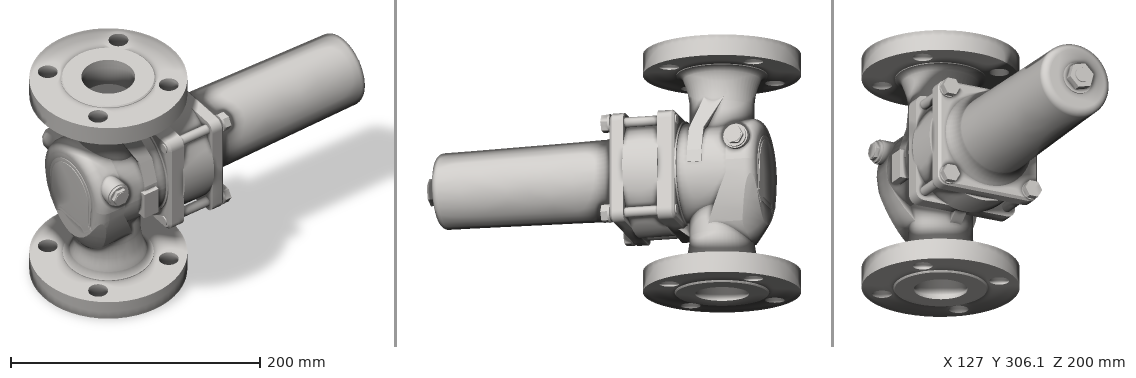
import cadquery as cq
import math


overall_height = 200.0
overall_y_max = 242.57

flange_dia = 127.0
flange_thickness = 17.0
raised_face_dia = 76.0
raised_face_height = 1.5
raised_face_chamfer = 1.0
bore_dia = 43.1
bore_depth = 25.0
flange_bolt_circle = 98.4
flange_hole_dia = 15.9
flange_hole_count = 4

neck_collar_radius = 36.6
neck_collar_height = 0.7
neck_fillet_mid_radius = 32.9
neck_fillet_mid_z = 79.6
neck_wide_radius = 31.0
neck_wide_z = 76.6
neck_mid_radius = 27.4
neck_mid_z = 66.0
neck_radius = 26.0
neck_z = 54.0

body_radius = 42.0
body_front_y = -36.6
body_back_y = -13.5
body_edge_fillet = 8.5
body_flank_x = 36.6
body_flank_z = -25.0
body_bottom_half_width = 26.0
body_bottom_corner_z = -47.0
body_bottom_z = -60.0
elbow_start_z = -10.0
elbow_back_y = 11.0
elbow_top_radius = 54.0
elbow_mid_radius = 46.5
elbow_mid_z = -24.0
elbow_end_radius = 25.0
elbow_end_z = -62.0

barrel_radius = 41.5
barrel_overlap = 5.0

pad_step_radius = 28.3
pad_step_points = [(26.5, -20.0), (28.3, -23.5), (19.0, -31.5), (15.0, -29.0)]
pad_face_radius = 25.0
pad_face_points = [(24.5, -20.5), (26.3, -23.5), (19.0, -29.7), (13.0, -25.0)]
pad_step = 0.6
pad_crown = 1.6
pad_crown_radius = 650.0

plate_size = 90.0
plate_corner_radius = 7.5
plate_edge_chamfer = 2.0
body_plate_y = (28.5, 42.5)
barrel_collar_radius = 43.5
barrel_collar_height = 1.3
spacer_dia = 95.0
spacer_y = (41.5, 70.5)
bonnet_plate_y = (70.5, 82.1)

stud_dia = 8.0
stud_spacing = 74.6
stud_tip = 1.0
washer_dia = 15.0
washer_height = 1.7
bolt_head_flats = 13.0
bolt_head_height = 5.6

flare_radius = 39.0
flare_mid_radius = 34.3
flare_mid_y = 88.5
bonnet_base_radius = 33.0
bonnet_base_y = 97.0
bonnet_tip_radius = 30.7
bonnet_tip_y = 233.6
bonnet_tip_fillet = 6.0

adjuster_washer_dia = 26.0
adjuster_washer_height = 1.0
adjuster_flats = 19.0
adjuster_height = 7.0
adjuster_turn = 15.0
adjuster_tip_dia = 12.0

port_y = -22.5
port_z = 18.2
port_boss_dia = 20.0
port_boss_x = 45.0
port_collar_dia = 18.0
port_collar_x = 47.0
plug_flats = 13.0
plug_tip_x = 50.6
plug_face_dia = 12.0
plug_face_height = 0.6

shoulder_sections = [
    (58.0, 0.0, 49.0, 17.0),
    (30.0, 12.5, 69.5, 12.0),
    (10.0, 12.5, 83.0, 12.0),
    (0.0, 12.5, 84.4, 12.0),
]

name_pad_x = 45.8
name_pad_y = (3.0, 17.0)
name_pad_z = (-17.5, 6.5)

web_thickness = 10.0
web_plate_point = (35.0, -45.0)
web_neck_point = (24.0, -53.5)
web_root_z = -30.0

half_height = overall_height / 2
flange_outer_z = half_height - raised_face_height
flange_inner_z = flange_outer_z - flange_thickness
collar_z = flange_inner_z - neck_collar_height
corner_per_flats = 2 / math.sqrt(3)


def plane_at_y(y):
    """Plane facing +Y whose local x is +X and whose local y is -Z."""
    return cq.Workplane(cq.Plane(origin=(0, y, 0), xDir=(1, 0, 0), normal=(0, 1, 0)))


def plane_at_front(y):
    """Plane facing -Y whose local x is +X and whose local y is +Z."""
    return cq.Workplane(cq.Plane(origin=(0, y, 0), xDir=(1, 0, 0), normal=(0, -1, 0)))


def cylinder_y(dia, y_start, y_end):
    """Cylinder on the Y axis between two y positions."""
    return plane_at_y(y_start).circle(dia / 2).extrude(y_end - y_start)


def flow_end():
    """Upper flange and flared neck, solid; the lower end is its mirror image."""
    neck = (
        cq.Workplane("XZ")
        .moveTo(0, 0)
        .lineTo(neck_radius, 0)
        .lineTo(neck_radius, neck_z)
        .threePointArc((neck_mid_radius, neck_mid_z), (neck_wide_radius, neck_wide_z))
        .threePointArc((neck_fillet_mid_radius, neck_fillet_mid_z), (neck_collar_radius, collar_z))
        .lineTo(neck_collar_radius, flange_inner_z)
        .lineTo(0, flange_inner_z)
        .close()
        .revolve(360, (0, 0, 0), (0, 1, 0))
    )
    flange = (
        cq.Workplane("XY")
        .workplane(offset=flange_inner_z)
        .circle(flange_dia / 2)
        .extrude(flange_thickness)
    )
    raised_face = (
        cq.Workplane("XY")
        .workplane(offset=flange_outer_z)
        .circle(raised_face_dia / 2)
        .extrude(raised_face_height)
        .faces(">Z")
        .chamfer(raised_face_chamfer)
    )
    holes = (
        cq.Workplane("XY")
        .workplane(offset=flange_inner_z)
        .polarArray(flange_bolt_circle / 2, 360 / flange_hole_count / 2, 360, flange_hole_count)
        .circle(flange_hole_dia / 2)
        .extrude(flange_thickness)
    )
    return neck.union(flange).union(raised_face).cut(holes)


def bore():
    """Blind flow bore of the upper end."""
    floor = cq.Workplane("XY").workplane(offset=half_height - bore_depth)
    return floor.circle(bore_dia / 2).extrude(bore_depth)


def both_ends(upper):
    """Shape of the upper end together with its mirror image at the lower end."""
    return upper.union(upper.mirror("XY"))


def front_body():
    """Egg-shaped front chamber, its lower part bending back into the outlet neck."""
    egg = (
        plane_at_front(elbow_back_y)
        .moveTo(body_radius, 0)
        .threePointArc((0, body_radius), (-body_radius, 0))
        .threePointArc((-body_flank_x, body_flank_z), (-body_bottom_half_width, body_bottom_corner_z))
        .threePointArc((0, body_bottom_z), (body_bottom_half_width, body_bottom_corner_z))
        .threePointArc((body_flank_x, body_flank_z), (body_radius, 0))
        .close()
        .extrude(elbow_back_y - body_front_y)
        .faces("<Y")
        .edges()
        .fillet(body_edge_fillet)
    )
    side_profile = (
        cq.Workplane("YZ")
        .moveTo(body_front_y, body_radius)
        .lineTo(body_back_y, body_radius)
        .lineTo(body_back_y, elbow_start_z)
        .lineTo(elbow_back_y, body_bottom_z)
        .lineTo(body_front_y, body_bottom_z)
        .close()
        .extrude(body_radius, both=True)
    )
    elbow = (
        cq.Workplane("XZ")
        .moveTo(0, body_radius)
        .lineTo(elbow_top_radius, body_radius)
        .lineTo(elbow_top_radius, 0)
        .threePointArc((elbow_mid_radius, elbow_mid_z), (elbow_end_radius, elbow_end_z))
        .lineTo(0, elbow_end_z)
        .close()
        .revolve(360, (0, 0, 0), (0, 1, 0))
    )
    return egg.intersect(side_profile).intersect(elbow)


def pad_prism(arc_radius, lower_points, height):
    """Front pad: half-round top, mirrored lower outline given on the +X side."""
    outline = plane_at_front(body_front_y).moveTo(-arc_radius, 0)
    outline = outline.threePointArc((0, arc_radius), (arc_radius, 0))
    for x, z in lower_points:
        outline = outline.lineTo(x, z)
    for x, z in reversed(lower_points):
        outline = outline.lineTo(-x, z)
    return outline.close().extrude(height)


def front_pad():
    """Two-level pad with a slightly crowned face."""
    step = pad_prism(pad_step_radius, pad_step_points, pad_step)
    face = pad_prism(pad_face_radius, pad_face_points, pad_crown)
    crown = cq.Workplane("XY").sphere(pad_crown_radius)
    crown = crown.translate((0, body_front_y - pad_crown + pad_crown_radius, 0))
    return step.union(face.intersect(crown))


def shoulder():
    """Tapered saddle with flat sides from the inlet neck down to the barrel flanks."""
    sections = []
    for z, y, size_x, size_y in shoulder_sections:
        level = cq.Workplane("XY", origin=(0, y, z)).rect(size_x, size_y)
        sections.append(level.val())
    return cq.Workplane(cq.Solid.makeLoft(sections, True))


def barrel():
    """Round connection between the front chamber and the body plate."""
    tube = cylinder_y(2 * barrel_radius, body_back_y - barrel_overlap, body_plate_y[0])
    collar = cylinder_y(2 * barrel_collar_radius, body_plate_y[0] - barrel_collar_height, body_plate_y[0])
    return tube.union(collar)


def lower_web():
    """Small web under the body plate, running into the outlet neck."""
    return (
        cq.Workplane("YZ")
        .moveTo(*web_plate_point)
        .lineTo(*web_neck_point)
        .lineTo(web_neck_point[0], web_root_z)
        .lineTo(web_plate_point[0], web_root_z)
        .close()
        .extrude(web_thickness / 2, both=True)
    )


def name_pad():
    """Rectangular pad on the +X flank of the barrel."""
    width = name_pad_y[1] - name_pad_y[0]
    height = name_pad_z[1] - name_pad_z[0]
    block = cq.Workplane("XY").box(name_pad_x, width, height, centered=False)
    return block.translate((0, name_pad_y[0], name_pad_z[0]))


def square_plate(y_range, chamfered_face):
    """Square plate with rounded corners and one chamfered rim."""
    return (
        plane_at_y(y_range[0])
        .rect(plate_size, plate_size)
        .extrude(y_range[1] - y_range[0])
        .edges("|Y")
        .fillet(plate_corner_radius)
        .faces(chamfered_face)
        .edges()
        .chamfer(plate_edge_chamfer)
    )


def stud():
    """One through stud with washer and hexagon head, on the Y axis."""
    washer_end = bonnet_plate_y[1] + washer_height
    shank = cylinder_y(stud_dia, body_plate_y[0] - stud_tip, bonnet_plate_y[1])
    washer = cylinder_y(washer_dia, bonnet_plate_y[1], washer_end)
    head = plane_at_y(washer_end).polygon(6, bolt_head_flats * corner_per_flats).extrude(bolt_head_height)
    return shank.union(washer).union(head)


def bonnet():
    """Tapered spring housing, flared at its foot and rounded at its end."""
    return (
        cq.Workplane("XY")
        .moveTo(0, bonnet_plate_y[1])
        .lineTo(flare_radius, bonnet_plate_y[1])
        .threePointArc((flare_mid_radius, flare_mid_y), (bonnet_base_radius, bonnet_base_y))
        .lineTo(bonnet_tip_radius, bonnet_tip_y)
        .lineTo(0, bonnet_tip_y)
        .close()
        .revolve(360, (0, 0, 0), (0, 1, 0))
        .faces(">Y")
        .edges()
        .fillet(bonnet_tip_fillet)
    )


def adjuster():
    """Washer, hexagon and round tip that close the bonnet."""
    washer_end = bonnet_tip_y + adjuster_washer_height
    hex_end = washer_end + adjuster_height
    washer = cylinder_y(adjuster_washer_dia, bonnet_tip_y, washer_end)
    hexagon = plane_at_y(washer_end).polygon(6, adjuster_flats * corner_per_flats).extrude(adjuster_height)
    hexagon = hexagon.rotate((0, 0, 0), (0, 1, 0), adjuster_turn)
    tip = cylinder_y(adjuster_tip_dia, hex_end, overall_y_max)
    return washer.union(hexagon).union(tip)


def side_port():
    """Boss with a hexagon plug on the +X side; the other side is its mirror image."""
    def disc(dia, x_end):
        return cq.Workplane("YZ").center(port_y, port_z).circle(dia / 2).extrude(x_end)

    plug = (
        cq.Workplane("YZ")
        .center(port_y, port_z)
        .polygon(6, plug_flats * corner_per_flats)
        .extrude(plug_tip_x - plug_face_height)
    )
    port = disc(port_boss_dia, port_boss_x).union(disc(port_collar_dia, port_collar_x))
    return port.union(plug).union(disc(plug_face_dia, plug_tip_x))


result = both_ends(flow_end())
result = result.union(barrel()).union(front_body()).union(shoulder())
result = result.union(front_pad()).union(name_pad()).union(lower_web())

port = side_port()
result = result.union(port).union(port.mirror("YZ"))

result = result.union(square_plate(body_plate_y, "<Y"))
result = result.union(cylinder_y(spacer_dia, *spacer_y))
result = result.union(square_plate(bonnet_plate_y, ">Y"))
result = result.union(bonnet()).union(adjuster())

stud_offset = stud_spacing / 2
for x in (-stud_offset, stud_offset):
    for z in (-stud_offset, stud_offset):
        result = result.union(stud().translate((x, 0, z)))

result = result.cut(both_ends(bore()))
result = cq.Workplane(result.val().Solids()[0])